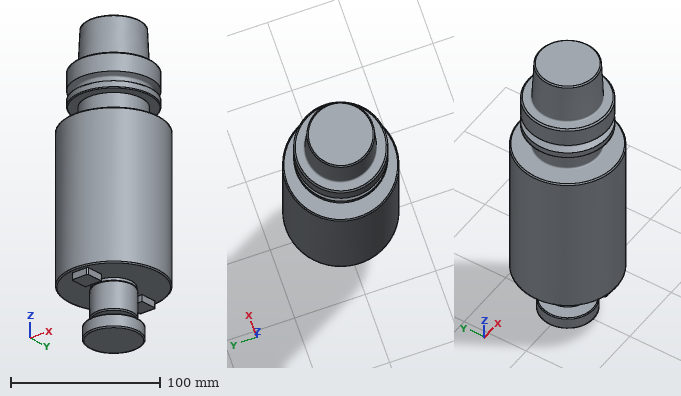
import cadquery as cq

total_height = 231.0

screw_head_radius = 21.0
screw_head_height = 10.2
screw_head_bottom_chamfer = 1.0
screw_head_top_chamfer = 0.7
screw_neck_radius = 8.0
screw_neck_length = 5.0

pilot_radius = 16.2
pilot_length = 24.2
pilot_chamfer = 1.0
relief_radius = 15.5
relief_length = 2.0

body_radius = 39.0
body_length = 115.5
body_chamfer = 1.0

neck_radius = 24.0
neck_length = 17.5
root_fillet = 1.2

key_width = 14.0
key_height = 5.0
key_outer_reach = 35.0
key_chamfer = 1.0

flange_radius = 31.6
flange_height = 26.8
flange_top_chamfer = 1.2
flange_bottom_chamfer = 0.7
lower_rim_height = 5.0
groove_width = 7.2
groove_cone_height = 2.0
groove_floor_radius = 27.5
groove_floor_fillet = 1.0

taper_base_radius = neck_radius
taper_base_height = 1.8
taper_end_radius = 22.6
taper_end_chamfer = 1.0

screw_neck_top = screw_head_height + screw_neck_length
body_bottom = screw_neck_top + pilot_length
relief_bottom = body_bottom - relief_length
body_top = body_bottom + body_length
flange_bottom = body_top + neck_length
flange_top = flange_bottom + flange_height
groove_bottom = flange_bottom + lower_rim_height
groove_top = groove_bottom + groove_width


def disc(radius, bottom, height):
    """Plain cylinder on the Z axis."""
    return cq.Workplane("XY").workplane(offset=bottom).circle(radius).extrude(height)


def root_ring(radius, level):
    """Concave fillet ring where a shaft of this radius rises from a flat face."""
    return (
        cq.Workplane("XZ")
        .moveTo(radius - root_fillet, level)
        .lineTo(radius + root_fillet, level)
        .radiusArc((radius, level + root_fillet), root_fillet)
        .lineTo(radius - root_fillet, level + root_fillet)
        .close()
        .revolve(360, (0, 0, 0), (0, 1, 0))
    )


def drive_key():
    """Square key on the -Y side with chamfered outer corners."""
    return (
        cq.Workplane("XY")
        .workplane(offset=body_bottom - key_height)
        .center(0, key_width / 2 - key_outer_reach)
        .rect(key_width, key_width)
        .extrude(key_height)
        .edges("|Z and <Y")
        .chamfer(key_chamfer)
    )


def make_tool_body():
    """Main cylinder with its neck, pilot, screw and two drive keys."""
    screw_head = (
        disc(screw_head_radius, 0, screw_head_height)
        .faces("<Z").chamfer(screw_head_bottom_chamfer)
        .faces(">Z").chamfer(screw_head_top_chamfer)
    )
    screw_neck = disc(screw_neck_radius, screw_head_height, screw_neck_length)
    pilot = (
        disc(pilot_radius, screw_neck_top, relief_bottom - screw_neck_top)
        .faces("<Z or >Z").chamfer(pilot_chamfer)
    )
    relief = disc(relief_radius, relief_bottom, relief_length)
    cylinder = disc(body_radius, body_bottom, body_length).faces("<Z or >Z").chamfer(body_chamfer)
    neck = disc(neck_radius, body_top, neck_length).union(root_ring(neck_radius, body_top))

    tool_body = cylinder
    for section in (neck, relief, pilot, screw_neck, screw_head):
        tool_body = tool_body.union(section)
    for angle in (0, 180):
        tool_body = tool_body.union(drive_key().rotate((0, 0, 0), (0, 0, 1), angle))
    return tool_body


def gripper_groove():
    """Ring with sloped flanks and a rounded floor, cut into the flange rim."""
    return (
        cq.Workplane("XZ")
        .polyline([
            (flange_radius, groove_bottom),
            (groove_floor_radius, groove_bottom + groove_cone_height),
            (groove_floor_radius, groove_top - groove_cone_height),
            (flange_radius, groove_top),
        ])
        .close()
        .revolve(360, (0, 0, 0), (0, 1, 0))
        .edges(cq.selectors.RadiusNthSelector(0)).fillet(groove_floor_fillet)
    )


def make_shank():
    """Flange and tapered shank that sit on the neck."""
    flange = (
        disc(flange_radius, flange_bottom, flange_height)
        .faces("<Z").chamfer(flange_bottom_chamfer)
        .faces(">Z").chamfer(flange_top_chamfer)
        .cut(gripper_groove())
    )
    taper = (
        cq.Workplane("XZ")
        .polyline([
            (0, flange_top),
            (taper_base_radius, flange_top),
            (taper_base_radius, flange_top + taper_base_height),
            (taper_end_radius, total_height),
            (0, total_height),
        ])
        .close()
        .revolve(360, (0, 0, 0), (0, 1, 0))
        .faces(">Z").chamfer(taper_end_chamfer)
    )
    return flange.union(taper).union(root_ring(taper_base_radius, flange_top))


tool_body = make_tool_body()
shank = make_shank()

result = cq.Compound.makeCompound([tool_body.val(), shank.val()])